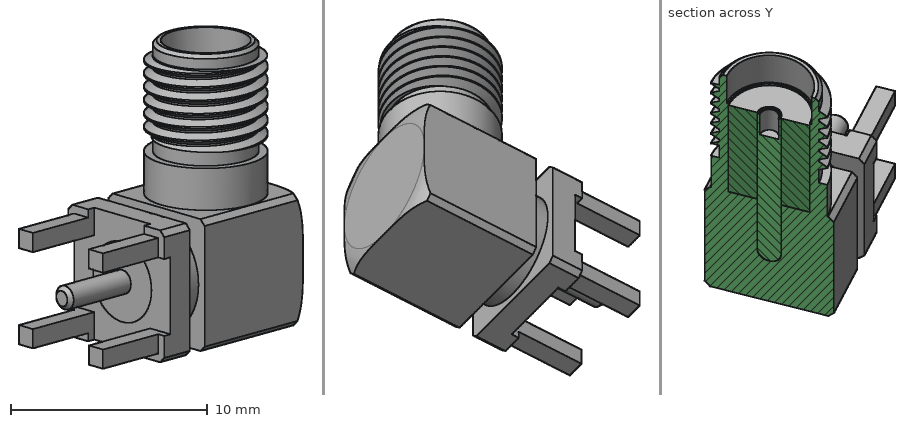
import cadquery as cq


BLOCK = 7.0
HALF = BLOCK / 2
EDGE_CHAMFER = 0.3
TURNED_ROUND = 2.15
NECK_RADIUS = 3.07
NECK_LENGTH = 1.04
PLATE_THICKNESS = 1.39
PAD_HEIGHT = 0.44
PAD_SIDE = 1.46
LEG_SIDE = 1.03
TOTAL_LENGTH = 13.8

COLLAR_RADIUS = 3.15
COLLAR_HEIGHT = 2.22
BARREL_RADIUS = 2.7
TOTAL_HEIGHT = 15.1
RIM_CHAMFER = 0.2
BORE_RADIUS = 2.3
BORE_DEPTH = 1.9

THREAD_RELIEF = 0.83
THREAD_LENGTH = 4.29
THREAD_PITCH = 0.71
THREAD_BASE = 0.62
THREAD_CREST = 0.09
THREAD_ROOT_OVERLAP = 0.02

BARREL_INSULATOR_RADIUS = 2.19
BARREL_INSULATOR_RECESS = 0.12
PLATE_INSULATOR_RADIUS = 2.13
CONTACT_RADIUS = 0.63
CONTACT_TIP_CHAMFER = 0.23
CONTACT_SETBACK = 0.06
SOCKET_MOUTH_RADIUS = 0.56
SOCKET_MOUTH_DEPTH = 0.08
SOCKET_RADIUS = 0.5
SOCKET_DEPTH = 1.51

BLOCK_FRONT = -HALF
PLATE_BACK = BLOCK_FRONT - NECK_LENGTH
PLATE_FRONT = PLATE_BACK - PLATE_THICKNESS
PAD_FRONT = PLATE_FRONT - PAD_HEIGHT
LEG_END = HALF - TOTAL_LENGTH
CONTACT_END = LEG_END + CONTACT_SETBACK

BLOCK_TOP = HALF
COLLAR_TOP = BLOCK_TOP + COLLAR_HEIGHT
THREAD_BOTTOM = COLLAR_TOP + THREAD_RELIEF
BARREL_TOP = TOTAL_HEIGHT - HALF
BORE_FLOOR = BARREL_TOP - BORE_DEPTH
INSULATOR_TOP = BORE_FLOOR - BARREL_INSULATOR_RECESS


def upright_cylinder(radius, bottom, top):
    return cq.Workplane("XY", origin=(0, 0, bottom)).circle(radius).extrude(top - bottom)


def forward_cylinder(radius, back, front):
    """Cylinder on the Y axis; `front` is the end nearer -Y."""
    return cq.Workplane("XZ", origin=(0, back, 0)).circle(radius).extrude(back - front)


def chamfered_square(back, front):
    """Square slab centred on the Y axis, with its four long edges chamfered."""
    slab = cq.Workplane("XZ", origin=(0, back, 0)).rect(BLOCK, BLOCK).extrude(back - front)
    return slab.edges("|Y").chamfer(EDGE_CHAMFER)


def make_block():
    """Block whose back corners are swept away by a round turned about the Y axis."""
    blank = forward_cylinder(HALF + TURNED_ROUND, HALF, BLOCK_FRONT)
    turned_envelope = blank.faces(">Y").edges().fillet(TURNED_ROUND)
    return chamfered_square(HALF, BLOCK_FRONT).intersect(turned_envelope)


def make_foot():
    """Foot plate with a raised pad and a square leg at each corner."""
    foot = chamfered_square(PLATE_BACK, PAD_FRONT)
    channel = BLOCK - 2 * PAD_SIDE
    for width, height in ((BLOCK, channel), (channel, BLOCK)):
        recess = cq.Workplane("XZ", origin=(0, PLATE_FRONT, 0)).rect(width, height).extrude(PAD_HEIGHT)
        foot = foot.cut(recess)
    leg_spacing = channel + LEG_SIDE
    legs = (
        cq.Workplane("XZ", origin=(0, PAD_FRONT, 0))
        .rect(leg_spacing, leg_spacing, forConstruction=True)
        .vertices()
        .rect(LEG_SIDE, LEG_SIDE)
        .extrude(PAD_FRONT - LEG_END)
    )
    return foot.union(legs)


def make_thread():
    """Right-hand V ridge, trimmed flat at both ends of the threaded length."""
    start = THREAD_BOTTOM - THREAD_PITCH
    root = BARREL_RADIUS - THREAD_ROOT_OVERLAP
    rise = THREAD_LENGTH + 2 * THREAD_PITCH
    helix = cq.Wire.makeHelix(THREAD_PITCH, rise, root, center=cq.Vector(0, 0, start))
    ridge = (
        cq.Workplane("XZ")
        .polyline([
            (root, start - THREAD_BASE / 2),
            (COLLAR_RADIUS, start - THREAD_CREST / 2),
            (COLLAR_RADIUS, start + THREAD_CREST / 2),
            (root, start + THREAD_BASE / 2),
        ])
        .close()
        .sweep(cq.Workplane(helix), isFrenet=True)
    )
    envelope = upright_cylinder(2 * COLLAR_RADIUS, THREAD_BOTTOM, THREAD_BOTTOM + THREAD_LENGTH)
    return ridge.intersect(envelope)


def make_barrel():
    collar = upright_cylinder(COLLAR_RADIUS, BLOCK_TOP, COLLAR_TOP)
    tube = upright_cylinder(BARREL_RADIUS, COLLAR_TOP, BARREL_TOP).faces(">Z").edges().chamfer(RIM_CHAMFER)
    return collar.union(tube).union(make_thread())


def make_contact():
    """Solder pin and socket joined by a round elbow at the block centre."""
    pin = forward_cylinder(CONTACT_RADIUS, 0, CONTACT_END).faces("<Y").chamfer(CONTACT_TIP_CHAMFER)
    elbow = cq.Workplane("XY").sphere(CONTACT_RADIUS)
    post = upright_cylinder(CONTACT_RADIUS, 0, INSULATOR_TOP)
    mouth = upright_cylinder(SOCKET_MOUTH_RADIUS, INSULATOR_TOP - SOCKET_MOUTH_DEPTH, INSULATOR_TOP)
    socket = upright_cylinder(SOCKET_RADIUS, INSULATOR_TOP - SOCKET_DEPTH, INSULATOR_TOP)
    return pin.union(elbow).union(post).cut(mouth).cut(socket)


def contact_passage():
    """Space taken by the contact, with the socket filled in."""
    level = forward_cylinder(CONTACT_RADIUS, 0, PLATE_FRONT)
    elbow = cq.Workplane("XY").sphere(CONTACT_RADIUS)
    upright = upright_cylinder(CONTACT_RADIUS, 0, BARREL_TOP)
    return level.union(elbow).union(upright)


def make_barrel_insulator():
    return upright_cylinder(BARREL_INSULATOR_RADIUS, BLOCK_TOP, INSULATOR_TOP).cut(contact_passage())


def make_plate_insulator():
    return forward_cylinder(PLATE_INSULATOR_RADIUS, BLOCK_FRONT, PLATE_FRONT).cut(contact_passage())


def make_housing():
    neck = forward_cylinder(NECK_RADIUS, BLOCK_FRONT, PLATE_BACK)
    housing = make_block().union(neck).union(make_foot()).union(make_barrel())
    bore = upright_cylinder(BORE_RADIUS, BORE_FLOOR, BARREL_TOP)
    barrel_seat = upright_cylinder(BARREL_INSULATOR_RADIUS, BLOCK_TOP, BORE_FLOOR)
    plate_seat = forward_cylinder(PLATE_INSULATOR_RADIUS, BLOCK_FRONT, PLATE_FRONT)
    return housing.cut(bore).cut(barrel_seat).cut(plate_seat).cut(contact_passage())


housing = make_housing()
barrel_insulator = make_barrel_insulator()
plate_insulator = make_plate_insulator()
contact = make_contact()

result = cq.Compound.makeCompound(
    [housing.val(), barrel_insulator.val(), plate_insulator.val(), contact.val()]
)